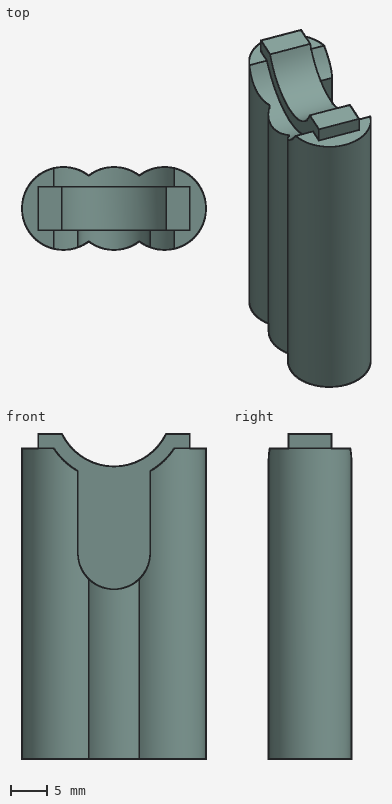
import cadquery as cq

lobe_radius = 5.75
lobe_spacing = 7.0
body_height = 43.0

tongue_length = 21.0
tongue_thickness = 6.0
total_height = 45.0

saddle_axis_z = 48.5
saddle_radius = 8.0
clearance_radius = 10.0

slot_width = 10.0
slot_bottom_z = 23.5

body_depth = 2 * lobe_radius
tongue_half = tongue_thickness / 2
flank_depth = lobe_radius - tongue_half
slot_radius = slot_width / 2
slot_arc_z = slot_bottom_z + slot_radius


def make_body():
    """Three lobes merged into one block."""
    body = cq.Workplane("XY").circle(lobe_radius).extrude(body_height)
    for side in (-1, 1):
        lobe = cq.Workplane("XY").center(side * lobe_spacing, 0).circle(lobe_radius).extrude(body_height)
        body = body.union(lobe)
    return body


def cylinder_along_y(radius, y_start, length):
    """Cylinder on the saddle axis, running toward +Y from y_start."""
    axis_start = cq.Vector(0, y_start, saddle_axis_z)
    return cq.Workplane(cq.Solid.makeCylinder(radius, length, axis_start, cq.Vector(0, 1, 0)))


def make_tongue():
    """Rectangular bar standing on top of the body."""
    tongue_height = total_height - body_height
    return (
        cq.Workplane("XY")
        .workplane(offset=body_height)
        .rect(tongue_length, tongue_thickness)
        .extrude(tongue_height)
    )


def make_front_slot():
    """Recess with straight sides and a half-round bottom, open at the top."""
    return (
        cq.Workplane("XZ", origin=(0, -tongue_half, 0))
        .moveTo(-slot_radius, body_height)
        .lineTo(-slot_radius, slot_arc_z)
        .threePointArc((0, slot_bottom_z), (slot_radius, slot_arc_z))
        .lineTo(slot_radius, body_height)
        .close()
        .extrude(flank_depth)
    )


result = make_body()
for flank_start in (-lobe_radius, tongue_half):
    result = result.cut(cylinder_along_y(clearance_radius, flank_start, flank_depth))
result = result.cut(make_front_slot())

result = result.union(make_tongue())
result = result.cut(cylinder_along_y(saddle_radius, -lobe_radius, body_depth))